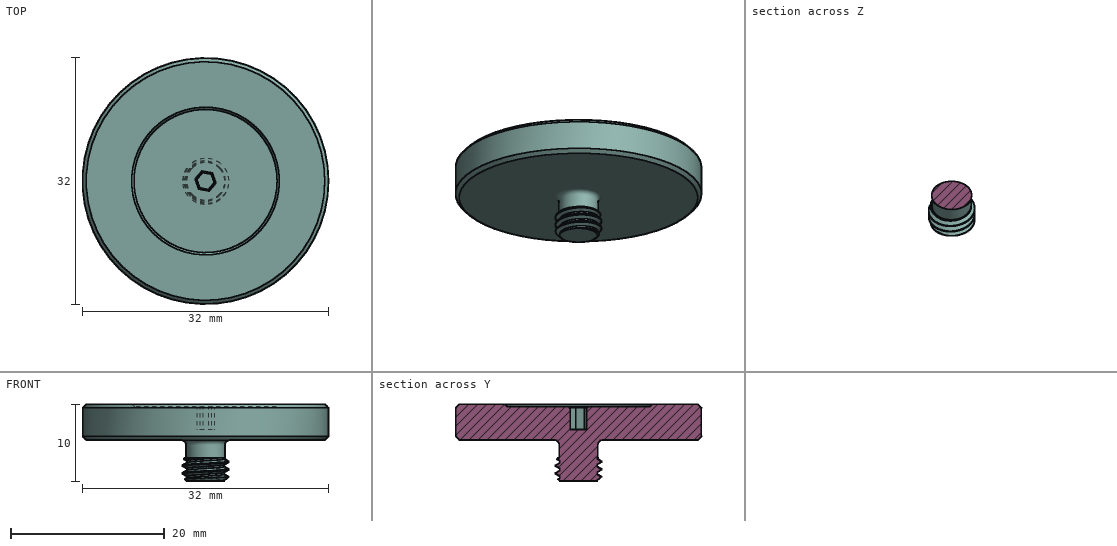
import cadquery as cq
import math

overall_height = 10.0

disc_diameter = 32.0
disc_thickness = 4.7
disc_chamfer = 0.5
disc_bottom = overall_height - disc_thickness

recess_top_diameter = 19.2
recess_depth = 0.3
recess_slope = 45.0
recess_floor = overall_height - recess_depth
recess_floor_radius = recess_top_diameter / 2 - recess_depth / math.tan(math.radians(recess_slope))

socket_across_flats = 2.0
socket_chamfer = 0.2
socket_depth = 3.0
socket_angle = -10.5

shank_diameter = 5.1
shank_fillet = 0.6
thread_length = 3.0
thread_pitch = 1.0
thread_major_diameter = 6.0
thread_minor_diameter = 4.92
thread_flank_angle = 30.0
thread_crest_width = thread_pitch / 8
thread_phase = 0.5 * thread_pitch
thread_top_bevel = 0.3
turns_below = 2
extra_turns = 3
root_overlap = 0.1
crest_clearance = 0.1
core_seam_angle = 90.0


def make_disc():
    disc = cq.Workplane("XY").workplane(offset=disc_bottom)
    return disc.circle(disc_diameter / 2).extrude(disc_thickness).edges().chamfer(disc_chamfer)


def make_shank():
    """Plain shank with a concave fillet running out into the underside of the disc."""
    radius = shank_diameter / 2
    fillet_mid = shank_fillet * (1 - math.sqrt(0.5))
    profile = (
        cq.Workplane("XZ")
        .moveTo(0, thread_length)
        .lineTo(radius, thread_length)
        .lineTo(radius, disc_bottom - shank_fillet)
        .threePointArc(
            (radius + fillet_mid, disc_bottom - fillet_mid),
            (radius + shank_fillet, disc_bottom),
        )
        .lineTo(radius + shank_fillet, disc_bottom + disc_chamfer)
        .lineTo(0, disc_bottom + disc_chamfer)
        .close()
    )
    return profile.revolve(360, (0, 0, 0), (0, 1, 0))


def make_thread_ridge():
    """Right-handed trapezoidal ridge that runs well past both ends of the thread."""
    crest_radius = thread_major_diameter / 2
    base_radius = thread_minor_diameter / 2 - root_overlap
    half_crest = thread_crest_width / 2
    half_base = half_crest + (crest_radius - base_radius) * math.tan(math.radians(thread_flank_angle))
    start = thread_phase - turns_below * thread_pitch
    height = thread_length + extra_turns * thread_pitch
    helix = cq.Wire.makeHelix(thread_pitch, height, base_radius, center=cq.Vector(0, 0, start))
    profile = cq.Workplane("XZ").polyline(
        [
            (base_radius, start - half_base),
            (crest_radius, start - half_crest),
            (crest_radius, start + half_crest),
            (base_radius, start + half_base),
        ]
    ).close()
    return profile.sweep(cq.Workplane(helix), isFrenet=True)


def make_thread():
    """Threaded end: the core with the ridge trimmed to length and bevelled at both ends."""
    core = (
        cq.Workplane("XY").circle(thread_minor_diameter / 2).extrude(thread_length)
        .rotate((0, 0, 0), (0, 0, 1), core_seam_angle)
    )
    tip_bevel = (thread_major_diameter - thread_minor_diameter) / 2
    envelope_radius = thread_major_diameter / 2 + crest_clearance
    envelope = (
        cq.Workplane("XY").circle(envelope_radius).extrude(thread_length)
        .faces("<Z").chamfer(tip_bevel + crest_clearance)
        .faces(">Z").chamfer(thread_top_bevel + crest_clearance)
    )
    return core.union(make_thread_ridge().intersect(envelope))


def make_recess():
    return (
        cq.Workplane("XY").workplane(offset=overall_height).circle(recess_top_diameter / 2)
        .workplane(offset=-recess_depth).circle(recess_floor_radius)
        .loft(ruled=True)
    )


def make_socket():
    """Hexagon socket with a bevelled mouth."""
    corner_factor = 2 / math.sqrt(3)
    inner = socket_across_flats * corner_factor
    outer = (socket_across_flats + 2 * socket_chamfer) * corner_factor
    bore = cq.Workplane("XY").workplane(offset=recess_floor).polygon(6, inner).extrude(-socket_depth)
    mouth = (
        cq.Workplane("XY").workplane(offset=recess_floor).polygon(6, outer)
        .workplane(offset=-socket_chamfer).polygon(6, inner)
        .loft(ruled=True)
    )
    return bore.union(mouth).rotate((0, 0, 0), (0, 0, 1), socket_angle)


stud = make_shank().union(make_thread())
result = make_disc().union(stud).cut(make_recess()).cut(make_socket())